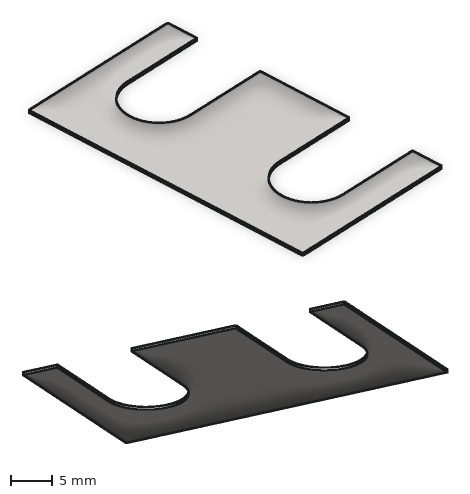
import cadquery as cq

length = 45.0
depth = 25.0
thickness = 0.38
slot_width = 10.4
slot_pitch = 25.0

slot_radius = slot_width / 2
slot_straight = depth / 2


def open_slot(center_x):
    """Cutter for one slot: a round end plus a straight run to the +Y edge."""
    return (
        cq.Workplane("XY")
        .moveTo(center_x - slot_radius, slot_straight)
        .lineTo(center_x - slot_radius, 0)
        .threePointArc((center_x, -slot_radius), (center_x + slot_radius, 0))
        .lineTo(center_x + slot_radius, slot_straight)
        .close()
        .extrude(thickness)
    )


plate = cq.Workplane("XY").box(length, depth, thickness, centered=(True, True, False))
for side in (-1, 1):
    plate = plate.cut(open_slot(side * slot_pitch / 2))

result = plate